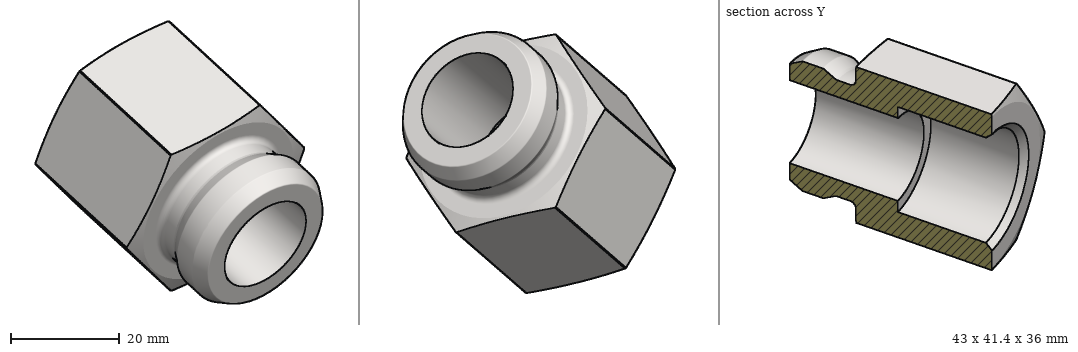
import cadquery as cq
import math

hex_length = 29.0
total_length = 43.0

across_flats = 36.0
across_corners = 41.44
hex_face_diameter = 35.0
hex_chamfer_angle = 15.0

neck_diameter = 26.9
collar_diameter = 30.0
spigot_cone_angle = 30.0
collar_start = 35.85
collar_end = 40.25
neck_root_radius = 1.2
neck_blend_radius = 1.2
collar_edge_radius = 0.5
tip_edge_radius = 0.3

port_diameter = 24.12
port_mouth_diameter = 26.75
port_chamfer_angle = 45.0
port_depth = 20.0
through_diameter = 19.0


def revolve_about_x(points):
    """Revolve a closed (x, radius) outline about the X axis."""
    outline = cq.Workplane("XY").polyline(points).close()
    return outline.revolve(360, (0, 0, 0), (1, 0, 0))


def make_hexagon():
    """Hexagonal prism with turned corners and a conical chamfer on both ends."""
    sharp_corners = across_flats / math.cos(math.pi / 6)
    prism = cq.Workplane("YZ").polygon(6, sharp_corners).extrude(hex_length)
    corner_radius = across_corners / 2
    face_radius = hex_face_diameter / 2
    chamfer_length = (corner_radius - face_radius) * math.tan(math.radians(hex_chamfer_angle))
    turned_envelope = revolve_about_x([
        (0, 0),
        (0, face_radius),
        (chamfer_length, corner_radius),
        (hex_length - chamfer_length, corner_radius),
        (hex_length, face_radius),
        (hex_length, 0),
    ])
    return prism.intersect(turned_envelope)


def round_edge(solid, x, radius, edge_radius):
    """Fillet the circular edge of the given radius at position x."""
    margin = 0.01
    box = cq.selectors.BoxSelector(
        (x - margin, -radius - margin, -radius - margin),
        (x + margin, radius + margin, radius + margin),
        boundingbox=True,
    )
    return solid.edges(box).fillet(edge_radius)


def add_spigot(body):
    """Neck and collar with conical flanks, blended where the surfaces meet."""
    neck_radius = neck_diameter / 2
    collar_radius = collar_diameter / 2
    cone_slope = math.tan(math.radians(spigot_cone_angle))
    neck_end = collar_start - (collar_radius - neck_radius) / cone_slope
    tip_radius = collar_radius - (total_length - collar_end) * cone_slope
    spigot = revolve_about_x([
        (0, 0),
        (0, neck_radius),
        (neck_end, neck_radius),
        (collar_start, collar_radius),
        (collar_end, collar_radius),
        (total_length, tip_radius),
        (total_length, 0),
    ])
    body = body.union(spigot)
    body = round_edge(body, hex_length, neck_radius, neck_root_radius)
    body = round_edge(body, neck_end, neck_radius, neck_blend_radius)
    body = round_edge(body, collar_start, collar_radius, collar_edge_radius)
    body = round_edge(body, collar_end, collar_radius, collar_edge_radius)
    return round_edge(body, total_length, tip_radius, tip_edge_radius)


def cut_bore(body):
    """Stepped bore: chamfered port in the hexagon, then a through passage."""
    mouth_radius = port_mouth_diameter / 2
    port_radius = port_diameter / 2
    through_radius = through_diameter / 2
    chamfer_depth = (mouth_radius - port_radius) / math.tan(math.radians(port_chamfer_angle))
    bore = revolve_about_x([
        (0, 0),
        (0, mouth_radius),
        (chamfer_depth, port_radius),
        (port_depth, port_radius),
        (port_depth, through_radius),
        (total_length, through_radius),
        (total_length, 0),
    ])
    return body.cut(bore)


result = cut_bore(add_spigot(make_hexagon()))